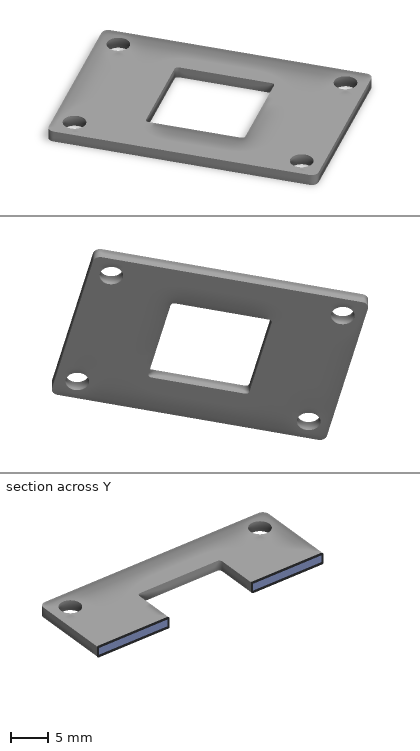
import cadquery as cq

length = 38.0
width = 26.0
thickness = 1.6
corner_radius = 1.0

window_side = 14.0
window_corner_radius = 0.5

hole_diameter = 3.2
hole_inset = 3.0
hole_spacing_x = length - 2 * hole_inset
hole_spacing_y = width - 2 * hole_inset


def rounded_block(size_x, size_y, radius):
    """Centred block of the plate thickness with rounded vertical edges."""
    block = cq.Workplane("XY").box(size_x, size_y, thickness)
    return block.edges("|Z").fillet(radius)


plate = rounded_block(length, width, corner_radius)
window = rounded_block(window_side, window_side, window_corner_radius)

result = (
    plate.cut(window)
    .faces(">Z")
    .workplane(origin=(0, 0, 0))
    .rect(hole_spacing_x, hole_spacing_y, forConstruction=True)
    .vertices()
    .hole(hole_diameter)
)